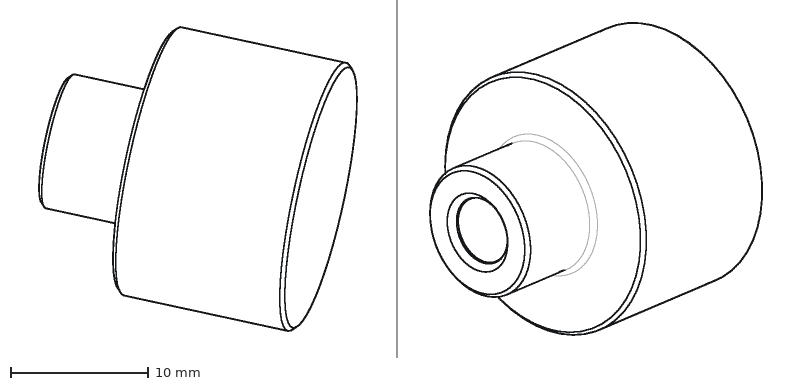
import cadquery as cq
import math

total_length = 20.0
head_diameter = 20.0
head_length = 13.0
shank_diameter = 10.0
edge_chamfer = 0.3

shank_fillet = 0.4

hole_diameter = 4.92
hole_depth = 12.0
drill_point_angle = 118.0
countersink_diameter = 6.0
countersink_angle = 90.0
taper_mouth_diameter = 5.05
taper_length = 0.12

shank_length = total_length - head_length
head_radius = head_diameter / 2
shank_radius = shank_diameter / 2
hole_radius = hole_diameter / 2


def turned_body():
    """Stepped cylinder with its shank end at X = 0."""
    shank = cq.Workplane("YZ").circle(shank_radius).extrude(shank_length)
    head = (
        cq.Workplane("YZ")
        .workplane(offset=shank_length)
        .circle(head_radius)
        .extrude(head_length)
        .faces("<X or >X")
        .edges()
        .chamfer(edge_chamfer)
    )
    shank = shank.faces("<X").edges().chamfer(edge_chamfer)
    return shank.union(head)


def blind_hole():
    """Revolved cutter: countersink, short taper, straight bore and conical drill point."""
    countersink_radius = countersink_diameter / 2
    taper_mouth_radius = taper_mouth_diameter / 2
    countersink_slope = math.tan(math.radians(countersink_angle / 2))
    countersink_depth = (countersink_radius - taper_mouth_radius) / countersink_slope
    point_length = hole_radius / math.tan(math.radians(drill_point_angle / 2))
    return (
        cq.Workplane("XY")
        .moveTo(0, 0)
        .lineTo(0, countersink_radius)
        .lineTo(countersink_depth, taper_mouth_radius)
        .lineTo(countersink_depth + taper_length, hole_radius)
        .lineTo(hole_depth, hole_radius)
        .lineTo(hole_depth + point_length, 0)
        .close()
        .revolve(360, (0, 0, 0), (1, 0, 0))
    )


def root_fillet():
    """Concave ring that blends the shank into the head face."""
    root_x = shank_length - shank_fillet
    blend_radius = shank_radius + shank_fillet
    arc_drop = shank_fillet * math.sin(math.radians(45))
    return (
        cq.Workplane("XY")
        .moveTo(root_x, 0)
        .lineTo(root_x, shank_radius)
        .threePointArc(
            (root_x + arc_drop, blend_radius - arc_drop),
            (shank_length, blend_radius),
        )
        .lineTo(shank_length, 0)
        .close()
        .revolve(360, (0, 0, 0), (1, 0, 0))
    )


result = turned_body().union(root_fillet()).cut(blind_hole())